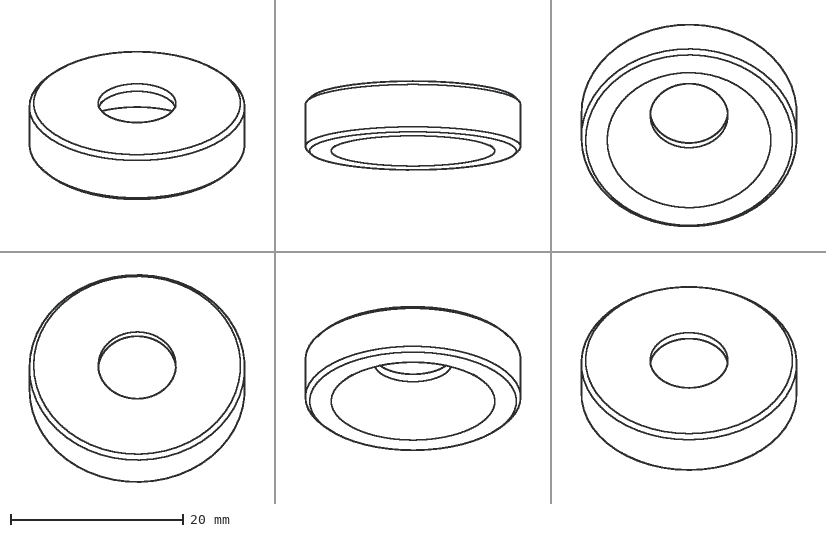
import cadquery as cq

outer_diameter = 25.0
thickness = 6.0
bore_diameter = 9.0
rim_chamfer = 0.5
bore_land = 1.0
seat_diameter = 19.0

seat_depth = thickness - bore_land


def rim_disc():
    """Plain disc on the XY plane with both outer rims chamfered."""
    disc = cq.Workplane("XY").circle(outer_diameter / 2).extrude(thickness)
    return disc.edges("%CIRCLE").chamfer(rim_chamfer)


def bore():
    """Through hole along the axis."""
    return cq.Workplane("XY").circle(bore_diameter / 2).extrude(thickness)


def conical_seat():
    """Cone opening downward, narrowing from the seat diameter to the bore."""
    cone = cq.Solid.makeCone(seat_diameter / 2, bore_diameter / 2, seat_depth)
    return cq.Workplane("XY").add(cone)


result = rim_disc().cut(bore()).cut(conical_seat())